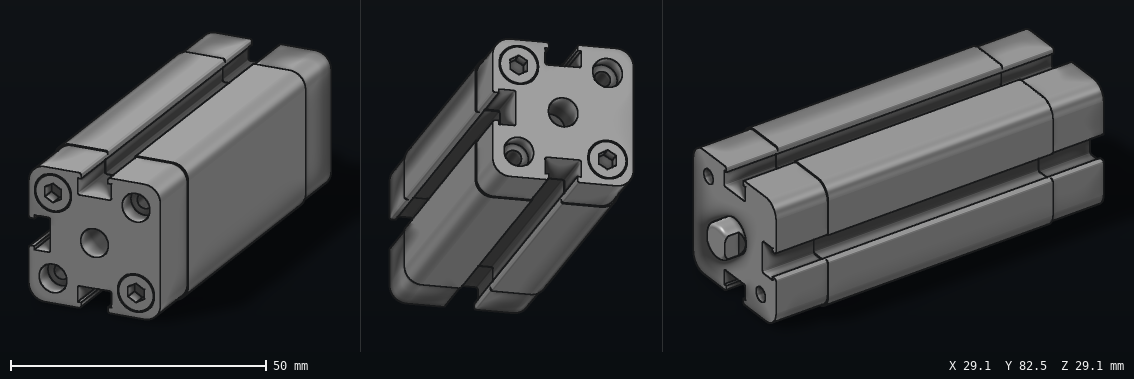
import cadquery as cq
import math


overall_length = 82.5
barrel_size = 29.05
cap_inset = 0.25
cap_size = barrel_size - 2 * cap_inset
corner_radius = 3.5
cap_length = 12.25
barrel_length = 53.5
body_length = barrel_length + 2 * cap_length

slot_mouth_width = 5.8
barrel_slot_width = 6.8
cap_slot_width = 7.3
barrel_floor_offset = 9.5
cap_floor_offset = 9.6
lip_inner_offset = 13.05
slot_edge_radius = 0.5
slot_angles = (0, 90, 180)

bolt_offset = 9.0
through_hole_diameter = 3.24
counterbore_diameter = 6.0
counterbore_depth = 4.0
screw_recess_diameter = 8.0
screw_head_diameter = 7.5
screw_gap_depth = 4.0
socket_across_flats = 3.5
socket_depth = 3.0

centre_bore_diameter = 6.0
centre_bore_depth = 10.0

rod_diameter = 8.0
rod_length = overall_length - body_length
rod_flat_width = 6.0
rod_flat_length = 3.4
rod_tip_radius = 1.25


def along_y(start):
    """Sketch plane at Y = start, local x on X, local y on Z, extruding toward +Y."""
    plane = cq.Plane(origin=(0, start, 0), xDir=(1, 0, 0), normal=(0, -1, 0))
    return cq.Workplane(plane)


def slot_cutter(start, length, outer_offset, inner_width, floor):
    """Undercut slot open at +Z, with rounded mouth edges and rounded floor corners."""
    mouth = slot_mouth_width / 2
    inner = inner_width / 2
    r = slot_edge_radius
    arc_mid = r * (1 - math.sqrt(0.5))
    outline = (
        along_y(start)
        .moveTo(0, floor)
        .lineTo(inner - r, floor)
        .threePointArc((inner - arc_mid, floor + arc_mid), (inner, floor + r))
        .lineTo(inner, lip_inner_offset)
        .lineTo(mouth, lip_inner_offset)
        .lineTo(mouth, outer_offset - r)
        .threePointArc((mouth + arc_mid, outer_offset - arc_mid), (mouth + r, outer_offset))
        .lineTo(0, outer_offset)
        .mirrorY()
    )
    return outline.extrude(-length)


def section(start, length, size, slot_inner_width, slot_floor):
    """One length of the square body with rounded corners and its three slots."""
    block = along_y(start).rect(size, size).extrude(-length)
    block = block.edges("|Y").fillet(corner_radius)
    cutter = slot_cutter(start, length, size / 2, slot_inner_width, slot_floor)
    for angle in slot_angles:
        block = block.cut(cutter.rotate((0, 0, 0), (0, -1, 0), angle))
    return block


def cut_plain_corner_holes(body):
    """Counterbored through holes in the (+X, +Z) and (-X, -Z) corners."""
    centres = [(bolt_offset, bolt_offset), (-bolt_offset, -bolt_offset)]
    holes = along_y(0).pushPoints(centres).circle(through_hole_diameter / 2).extrude(-body_length)
    bores = along_y(0).pushPoints(centres).circle(counterbore_diameter / 2).extrude(-counterbore_depth)
    return body.cut(holes).cut(bores)


def cut_screws(body):
    """Flush socket head screws: a ring gap around each head and a hexagon socket."""
    socket_corner_diameter = socket_across_flats / math.cos(math.pi / 6)
    for x, z in [(-bolt_offset, bolt_offset), (bolt_offset, -bolt_offset)]:
        gap = (
            along_y(0)
            .center(x, z)
            .circle(screw_recess_diameter / 2)
            .circle(screw_head_diameter / 2)
            .extrude(-screw_gap_depth)
        )
        socket = along_y(0).polygon(6, socket_corner_diameter).extrude(-socket_depth)
        socket = socket.rotate((0, 0, 0), (0, 1, 0), 30).translate((x, 0, z))
        body = body.cut(gap).cut(socket)
    return body


def piston_rod():
    """Rounded rod tip with two flats on the X sides and 45 degree run-outs below them."""
    rod = along_y(body_length).circle(rod_diameter / 2).extrude(-rod_length)
    rod = rod.faces(">Y").fillet(rod_tip_radius)
    tip = body_length + rod_length
    flat_end = tip - rod_flat_length
    run_out = rod_length - rod_flat_length
    half_flat = rod_flat_width / 2
    envelope = (
        cq.Workplane("XY")
        .moveTo(half_flat, tip)
        .lineTo(half_flat, flat_end)
        .lineTo(half_flat + run_out, body_length)
        .lineTo(0, body_length)
        .lineTo(0, tip)
        .close()
        .extrude(rod_diameter / 2, both=True)
    )
    return rod.intersect(envelope.union(envelope.mirror("YZ")))


near_cap = section(0, cap_length, cap_size, cap_slot_width, cap_floor_offset)
barrel = section(cap_length, barrel_length, barrel_size, barrel_slot_width, barrel_floor_offset)
far_cap = section(cap_length + barrel_length, cap_length, cap_size, cap_slot_width, cap_floor_offset)

body = near_cap.union(barrel).union(far_cap)
body = cut_plain_corner_holes(body)
body = cut_screws(body)
centre_bore = along_y(0).circle(centre_bore_diameter / 2).extrude(-centre_bore_depth)
body = body.cut(centre_bore)

result = body.union(piston_rod())